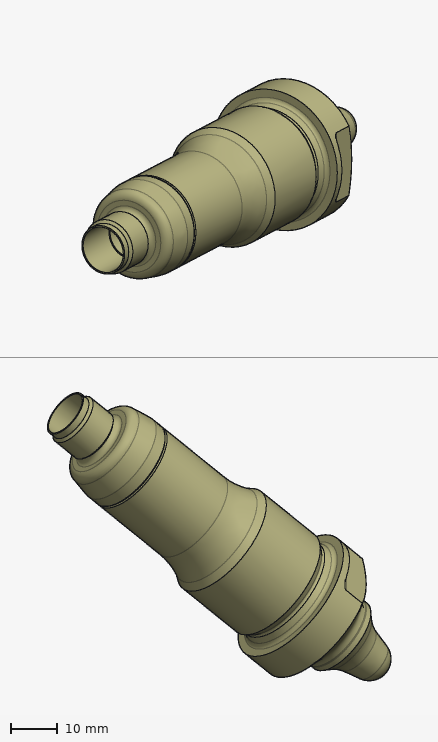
import cadquery as cq
import math

length = 97.1

joint_y = 19.7
joint_edge = 0.3
barrel_radius = 21.5 / 2

mouth_radius = 10.1 / 2
bore_radius = 9.5 / 2
tail_radius = 10.8 / 2
spigot_radius = 12.0 / 2
tail_length = 1.65
spigot_chamfer = spigot_radius - tail_radius
spigot_end_y = 8.4

shoulder_y = 10.3
neck_fillet = 1.4
shoulder_face_radius = 16.0 / 2
shoulder_fillet = 1.9
taper_start_y = 16.7
taper_bulge = 0.05

socket_radius = 8.0 / 2
flare_start_y = 38.5
flare_arc_end_y = 45.8
flare_arc_end_radius = 24.5 / 2
collar_start_y = 47.6
collar_end_y = 64.0
collar_radius = 26.6 / 2

groove_radius = 24.3 / 2
groove_floor_y = 65.9
groove_collar_side = (24.7 / 2, 65.4)
groove_flange_side = (24.7 / 2, 66.3)
relief_end = (25.8 / 2, 67.8)
flange_foot_radius = 27.8 / 2

flange_start_y = 68.6
flange_end_y = 76.5
flange_radius = 31.5 / 2
flange_cone_angle = 60.0
sweep_radius = 20.9 / 2
sweep_y = 79.6
flat_distance = 27.3 / 2
flat_start_y = 70.4
flat_fillet = 1.2

ring_start_y = 82.4
ring_end_y = 83.8
ring_radius = 18.0 / 2
ring_foot_y = 82.1
ring_foot_radius = 18.1 / 2
nose_cone_end_y = 85.6
nose_cone_end_radius = 14.9 / 2
tip_cone_start_y = 88.8
tip_cone_start_radius = 11.3 / 2
tip_start_y = 93.5
tip_start_radius = 9.1 / 2


def make_end_cap():
    """Hollow cap with the tail spigot and the rounded shoulder."""
    diagonal = math.sqrt(0.5)
    neck_end_y = shoulder_y - neck_fillet
    taper_end_radius = shoulder_face_radius + shoulder_fillet
    taper_end_y = shoulder_y + shoulder_fillet

    neck_middle = (
        tail_radius + neck_fillet * (1 - diagonal),
        neck_end_y + neck_fillet * diagonal,
    )
    shoulder_middle = (
        shoulder_face_radius + shoulder_fillet * diagonal,
        taper_end_y - shoulder_fillet * diagonal,
    )
    taper_middle = (
        (taper_end_radius + barrel_radius) / 2 + taper_bulge,
        (taper_end_y + taper_start_y) / 2,
    )

    outline = (
        cq.Workplane("XY")
        .moveTo(mouth_radius, 0)
        .lineTo(tail_radius, 0)
        .lineTo(tail_radius, tail_length)
        .lineTo(spigot_radius, tail_length + spigot_chamfer)
        .lineTo(spigot_radius, spigot_end_y)
        .lineTo(tail_radius, neck_end_y)
        .threePointArc(neck_middle, (tail_radius + neck_fillet, shoulder_y))
        .lineTo(shoulder_face_radius, shoulder_y)
        .threePointArc(shoulder_middle, (taper_end_radius, taper_end_y))
        .threePointArc(taper_middle, (barrel_radius, taper_start_y))
        .lineTo(barrel_radius, joint_y - joint_edge)
        .lineTo(barrel_radius - joint_edge, joint_y)
        .lineTo(bore_radius, joint_y)
        .lineTo(bore_radius, shoulder_y)
        .lineTo(mouth_radius, shoulder_y)
        .close()
    )
    return outline.revolve(360, (0, 0), (0, 1))


def make_body_blank():
    """Turned main body, with its hemispherical recess at the joint."""
    socket_middle = (
        socket_radius * math.sqrt(0.5),
        joint_y + socket_radius * math.sqrt(0.5),
    )

    cone = math.radians(flange_cone_angle)
    cone_direction = (-math.sin(cone), math.cos(cone))
    axis_direction = (0, 1)

    tip_height = length - tip_start_y
    tip_sphere_radius = (tip_start_radius**2 + tip_height**2) / (2 * tip_height)

    outline = (
        cq.Workplane("XY")
        .moveTo(0, joint_y + socket_radius)
        .threePointArc(socket_middle, (socket_radius, joint_y))
        .lineTo(barrel_radius - joint_edge, joint_y)
        .lineTo(barrel_radius, joint_y + joint_edge)
        .lineTo(barrel_radius, flare_start_y)
        .tangentArcPoint((flare_arc_end_radius, flare_arc_end_y), relative=False)
        .lineTo(collar_radius, collar_start_y)
        .lineTo(collar_radius, collar_end_y)
        .lineTo(*groove_collar_side)
        .threePointArc((groove_radius, groove_floor_y), groove_flange_side)
        .lineTo(*relief_end)
        .tangentArcPoint((flange_foot_radius, flange_start_y), relative=False)
        .lineTo(flange_radius, flange_start_y)
        .lineTo(flange_radius, flange_end_y)
        .spline(
            [(sweep_radius, sweep_y), (ring_foot_radius, ring_foot_y)],
            tangents=[cone_direction, axis_direction],
            includeCurrent=True,
        )
        .lineTo(ring_radius, ring_start_y)
        .lineTo(ring_radius, ring_end_y)
        .lineTo(nose_cone_end_radius, nose_cone_end_y)
        .tangentArcPoint((tip_cone_start_radius, tip_cone_start_y), relative=False)
        .lineTo(tip_start_radius, tip_start_y)
        .radiusArc((0, length), -tip_sphere_radius)
        .close()
    )
    return outline.revolve(360, (0, 0), (0, 1))


def make_flat_cutter(side):
    """Cutter for one flange flat, filleted at its foot; side is +1 or -1 along X."""
    inner = flat_distance
    outer = 1.1 * flange_radius
    fillet_middle = (
        side * (inner + flat_fillet * (1 - math.sqrt(0.5))),
        flat_start_y + flat_fillet * (1 - math.sqrt(0.5)),
    )
    return (
        cq.Workplane("XY")
        .moveTo(side * outer, flat_start_y)
        .lineTo(side * (inner + flat_fillet), flat_start_y)
        .threePointArc(fillet_middle, (side * inner, flat_start_y + flat_fillet))
        .lineTo(side * inner, ring_foot_y)
        .lineTo(side * outer, ring_foot_y)
        .close()
        .extrude(flange_radius, both=True)
    )


def make_main_body():
    body = make_body_blank()
    for side in (-1, 1):
        body = body.cut(make_flat_cutter(side))
    return body


end_cap = make_end_cap()
main_body = make_main_body()

result = cq.Compound.makeCompound([end_cap.val(), main_body.val()])